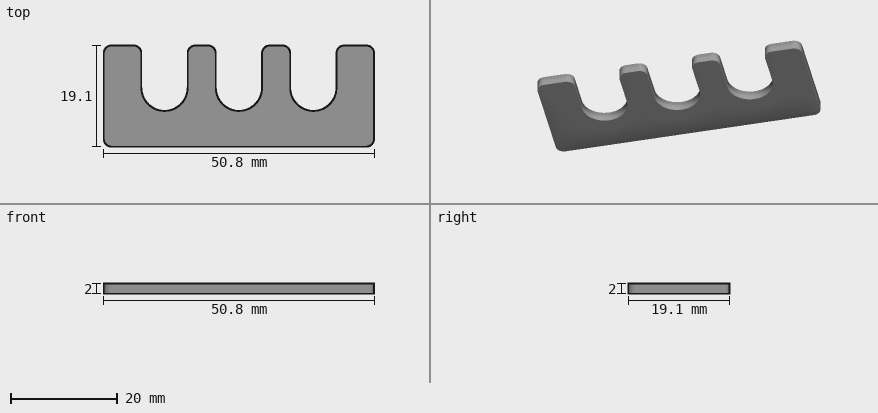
import cadquery as cq

length = 50.8
depth = 19.05
thickness = 2.0
corner_radius = 1.5

slot_count = 3
slot_pitch = 13.95
slot_width = 8.65
slot_depth = 12.3


def make_plate():
    """Flat rectangular plate centred on the origin."""
    return cq.Workplane("XY").box(length, depth, thickness)


def make_slot(x):
    """Cutter for one round-bottomed slot, centred at x and open at the +Y edge."""
    radius = slot_width / 2
    edge_y = depth / 2
    bottom_y = edge_y - slot_depth
    arc_y = bottom_y + radius
    return (
        cq.Workplane("XY", origin=(0, 0, -thickness / 2))
        .moveTo(x - radius, edge_y)
        .lineTo(x - radius, arc_y)
        .threePointArc((x, bottom_y), (x + radius, arc_y))
        .lineTo(x + radius, edge_y)
        .close()
        .extrude(thickness)
    )


comb = make_plate()
for index in range(slot_count):
    slot_x = (index - (slot_count - 1) / 2) * slot_pitch
    comb = comb.cut(make_slot(slot_x))

front_corners = comb.faces("<Y").edges("|Z")
finger_tips = comb.faces(">Y").edges("|Z")
result = comb.newObject(front_corners.vals() + finger_tips.vals()).fillet(corner_radius)